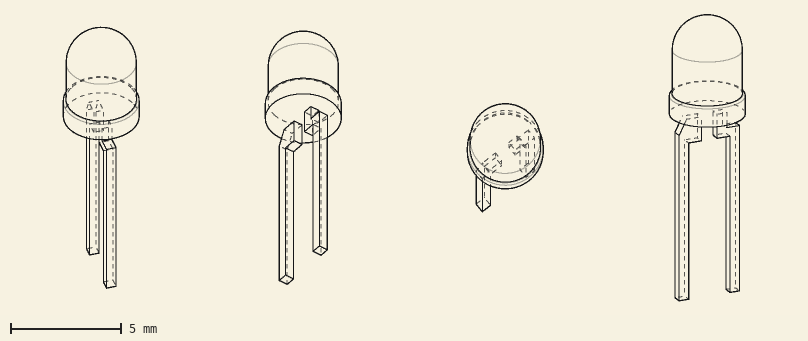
import cadquery as cq

total_height = 13.35

lens_radius = 1.59
flange_radius = 1.715
flange_bottom = 8.68
flange_height = 0.97
flange_fillet = 0.1

lead_width = 0.48
lead_thickness = 0.45
lead_outer_x = 1.51
lead_inner_x = 0.39
foot_bottom = 7.52
foot_top = 7.95
bevel_top_x = 1.13

flange_top = flange_bottom + flange_height
dome_base = total_height - lens_radius
leg_inner_x = lead_outer_x - lead_width
neck_outer_x = lead_inner_x + lead_width


def make_lens():
    """Flange, barrel and hemispherical dome, moulded as one body."""
    half_profile = (
        cq.Workplane("XZ")
        .moveTo(0, flange_bottom)
        .lineTo(flange_radius, flange_bottom)
        .lineTo(flange_radius, flange_top - flange_fillet)
        .radiusArc((flange_radius - flange_fillet, flange_top), -flange_fillet)
        .lineTo(lens_radius, flange_top)
        .lineTo(lens_radius, dome_base)
        .radiusArc((0, total_height), -lens_radius)
        .close()
    )
    return half_profile.revolve(360, (0, 0, 0), (0, 1, 0))


def make_lead(side, shoulder):
    """Cranked flat lead on one side (-1 or 1); shoulder lists its outer (x, z) points up to the flange."""
    outline = [
        (lead_outer_x, 0),
        (lead_outer_x, foot_top),
        *shoulder,
        (lead_inner_x, flange_bottom),
        (lead_inner_x, foot_bottom),
        (leg_inner_x, foot_bottom),
        (leg_inner_x, 0),
    ]
    return (
        cq.Workplane("XZ")
        .polyline([(side * x, z) for x, z in outline])
        .close()
        .extrude(lead_thickness / 2, both=True)
    )


bevelled_shoulder = [(bevel_top_x, flange_bottom)]
stepped_shoulder = [(neck_outer_x, foot_top), (neck_outer_x, flange_bottom)]

lens = make_lens()
bevelled_lead = make_lead(-1, bevelled_shoulder)
stepped_lead = make_lead(1, stepped_shoulder)

result = cq.Compound.makeCompound([lens.val(), bevelled_lead.val(), stepped_lead.val()])